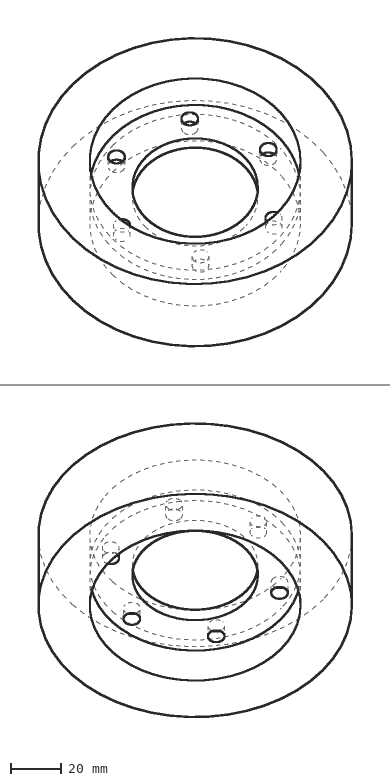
import cadquery as cq

outer_diameter = 125.0
height = 40.0
recess_diameter = 84.0
web_thickness = 6.0
bore_diameter = 50.0

bolt_count = 6
bolt_circle_diameter = 70.0
bolt_hole_diameter = 6.6
first_bolt_angle = 90.0

recess_depth = (height - web_thickness) / 2


def make_ring():
    """Cylinder standing on the XY plane with a through bore."""
    return (
        cq.Workplane("XY")
        .circle(outer_diameter / 2)
        .circle(bore_diameter / 2)
        .extrude(height)
    )


def make_recess(base_height):
    """Cutter for one of the two circular recesses."""
    return (
        cq.Workplane("XY")
        .workplane(offset=base_height)
        .circle(recess_diameter / 2)
        .extrude(recess_depth)
    )


def make_bolt_holes():
    """Cutters for the bolt circle, running through the full height."""
    return (
        cq.Workplane("XY")
        .polarArray(bolt_circle_diameter / 2, first_bolt_angle, 360, bolt_count)
        .circle(bolt_hole_diameter / 2)
        .extrude(height)
    )


result = make_ring()
for recess_base in (0, height - recess_depth):
    result = result.cut(make_recess(recess_base))
result = result.cut(make_bolt_holes())